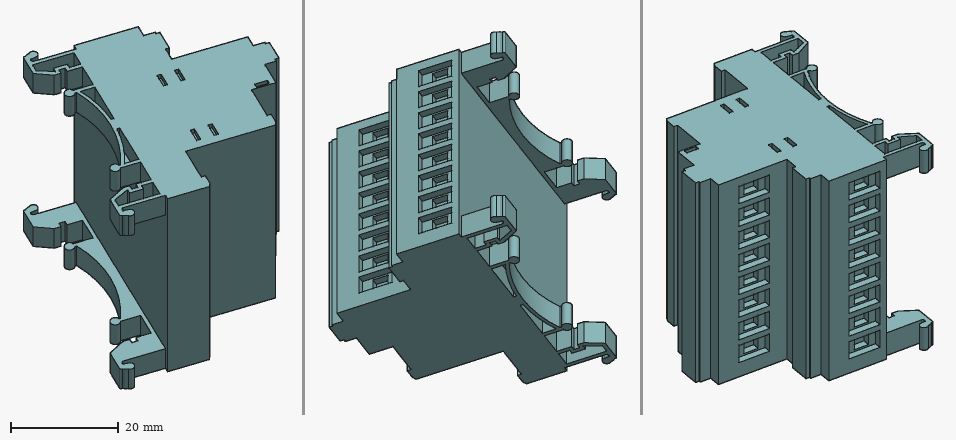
import cadquery as cq
import math

height = 44.85
half_width = 22.5
depth = 44.0
wall = 0.8

tier_inset = 10.5
tier_rise = 17.8
base_y = 10.0
terminal_y = 23.05
cover_y = 18.1
ridge_offset = 2.6
ridge_width = 5.55
ridge_height = 2.35
cap_offset = 0.4
cap_width = 4.55
cap_height = depth - tier_rise - terminal_y - ridge_height
lip_width = 3.0
lip_height = 0.8
lip_chamfer_x = 0.8
lip_chamfer_y = 0.4

window_count = 8
window_pitch = 5.1
window_row_z = 0.6
window_y = 14.95
window_width = 6.95
window_height = 3.85
window_depth = 1.5
clamp_y = 14.7
clamp_width = 3.2
clamp_height = 3.05
clamp_depth = 1.5

slot_length = 3.0
slot_width = 0.8
slot_depth = 1.0
slot_x = (-7.45, 8.55)
slot_y = (25.1, 21.55)
side_slot_length = 2.6
side_slot_x = 0.7
side_slot_y = 38.35

bracket_height = 5.1
bracket_half_width = 21.45
bracket_y = base_y - wall
clip_inner_x = 16.5
notch_depth = 0.95
notch_top_y = 6.05
notch_bottom_y = 4.85
ramp_y = 3.45
ramp_foot_x = 18.5
ramp_pocket_x = 18.9

hook_half_span = 24.05
hook_radius = 0.85
hook_x = hook_half_span - hook_radius
hook_y = 2.05
hook_back = (23.82, 1.5)
hook_bend = (23.7, 1.05)
hook_bend_end = (23.5, 0.65)
hook_foot_x = 23.35
hook_foot_y = 0.5
hook_foot_radius = 0.35
hook_root_x = 22.25
hook_root_y = 1.5
hook_floor_y = 1.05
hook_gap_radius = 0.4

pin_x = 10.95
pin_y = 4.25
pin_radius = 1.0
pin_inner_x = pin_x - wall / 2
arch_top_y = 7.95
arch_end_y = 5.5
arch_wall = 0.7
arch_web_half = 1.4
arch_sag = arch_top_y - arch_end_y
arch_radius = (pin_inner_x**2 + arch_sag**2) / (2 * arch_sag)
arch_center_y = arch_top_y - arch_radius

top_z = height / 2


def arc_y(x, radius):
    """Y of a circle about the arch centre."""
    return arch_center_y + math.sqrt(radius**2 - x**2)


def both_sides(shape):
    """Add the mirror image across the X = 0 plane."""
    return shape.union(shape.mirror("YZ"))


def box_between(x0, x1, y0, y1, z0, z1):
    return cq.Workplane("XY").box(x1 - x0, y1 - y0, z1 - z0, centered=False).translate((x0, y0, z0))


def housing_tier(half_x, rise):
    """One stepped tier: left shoulder with ridge and cap, right ledge with its lip."""
    shoulder_y = terminal_y + rise
    ledge_y = cover_y + rise
    ridge_x = -half_x + ridge_offset
    ridge_y = shoulder_y + ridge_height
    cap_x = ridge_x + cap_offset
    step_x = half_x - tier_inset
    lip_x = half_x - lip_width
    left = box_between(-half_x, step_x, base_y, shoulder_y, -top_z, top_z)
    ridge = box_between(ridge_x, ridge_x + ridge_width, base_y, ridge_y, -top_z, top_z)
    cap = box_between(cap_x, cap_x + cap_width, base_y, ridge_y + cap_height, -top_z, top_z)
    right = (
        cq.Workplane("XY", origin=(0, 0, -top_z))
        .moveTo(step_x, base_y)
        .lineTo(half_x, base_y)
        .lineTo(half_x, ledge_y + lip_height - lip_chamfer_y)
        .lineTo(half_x - lip_chamfer_x, ledge_y + lip_height)
        .lineTo(lip_x, ledge_y + lip_height)
        .lineTo(lip_x, ledge_y)
        .lineTo(step_x, ledge_y)
        .close()
        .extrude(height)
    )
    return left.union(ridge).union(cap).union(right)


def housing():
    lower = housing_tier(half_width, 0)
    upper_half = half_width - tier_inset
    upper = housing_tier(upper_half, tier_rise)
    shelf = box_between(
        -half_width + ridge_offset, -upper_half, base_y, terminal_y + ridge_height, -top_z, top_z
    )
    return lower.union(upper).union(shelf)


def wire_windows():
    """Stepped rectangular openings, one column per tier."""
    window = cq.Workplane("XY").box(2 * window_depth, window_width, window_height)
    clamp_reach = window_depth + clamp_depth
    clamp = cq.Workplane("XY").box(2 * clamp_reach, clamp_width, clamp_height)
    first_z = window_row_z - window_pitch * (window_count - 1) / 2
    cutters = cq.Workplane("XY")
    for tier in range(2):
        face_x = -half_width + tier * tier_inset
        rise = tier * tier_rise
        for i in range(window_count):
            z = first_z + i * window_pitch
            cutters = cutters.add(window.translate((face_x, window_y + rise, z)))
            cutters = cutters.add(clamp.translate((face_x, clamp_y + rise, z)))
    return cutters.combine()


def marker_slots():
    floor = cq.Workplane("XY", origin=(0, 0, top_z - slot_depth))
    slots = (
        floor.pushPoints([(x, y) for x in slot_x for y in slot_y])
        .rect(slot_length, slot_width)
        .extrude(slot_depth)
    )
    side_slot = (
        floor.center(side_slot_x, side_slot_y).rect(slot_width, side_slot_length).extrude(slot_depth)
    )
    return slots.union(side_slot)


def clip():
    """Right-hand rail clip with its notch and lead-in ramp."""
    notch_x = clip_inner_x + notch_depth
    outline = [
        (bracket_half_width, base_y),
        (bracket_half_width, 0),
        (ramp_foot_x, 0),
        (clip_inner_x, ramp_y),
        (clip_inner_x, notch_bottom_y),
        (notch_x, notch_bottom_y),
        (notch_x, notch_top_y),
        (clip_inner_x, notch_top_y),
        (clip_inner_x, base_y),
    ]
    return cq.Workplane("XY").polyline(outline).close().extrude(bracket_height)


def clip_pocket():
    """Pocket that follows the clip outline one wall thickness inside."""
    side_x = clip_inner_x + wall
    step_x = side_x + notch_depth
    outer_x = bracket_half_width - wall
    outline = [
        (outer_x, bracket_y),
        (outer_x, wall),
        (ramp_pocket_x, wall),
        (side_x, notch_bottom_y - wall),
        (step_x, notch_bottom_y - wall),
        (step_x, notch_top_y + wall),
        (side_x, notch_top_y + wall),
        (side_x, bracket_y),
    ]
    return (
        cq.Workplane("XY", origin=(0, 0, wall)).polyline(outline).close().extrude(bracket_height)
    )


def hook():
    """Right-hand release hook: a foot, a leaning neck and a round tip."""
    neck = (
        cq.Workplane("XY")
        .moveTo(bracket_half_width, 0)
        .lineTo(hook_foot_x - hook_foot_radius, 0)
        .radiusArc((hook_foot_x, hook_foot_radius), -hook_foot_radius)
        .lineTo(hook_foot_x, hook_foot_y)
        .lineTo(*hook_bend_end)
        .threePointArc(hook_bend, hook_back)
        .lineTo(hook_x + hook_radius, hook_y)
        .lineTo(hook_x - hook_radius, hook_y)
        .lineTo(hook_root_x, hook_root_y)
        .lineTo(hook_root_x, hook_floor_y)
        .lineTo(bracket_half_width + hook_gap_radius, hook_floor_y)
        .radiusArc((bracket_half_width, hook_floor_y + hook_gap_radius), hook_gap_radius)
        .close()
        .extrude(bracket_height)
    )
    tip = cq.Workplane("XY").center(hook_x, hook_y).circle(hook_radius).extrude(bracket_height)
    return neck.union(tip)


def pin():
    stem = box_between(pin_inner_x, pin_inner_x + wall, pin_y, base_y, 0, bracket_height)
    bead = cq.Workplane("XY").center(pin_x, pin_y).circle(pin_radius).extrude(bracket_height)
    return stem.union(bead)


def arch():
    return (
        cq.Workplane("XY")
        .moveTo(-pin_inner_x, base_y)
        .lineTo(-pin_inner_x, arch_end_y)
        .threePointArc((0, arch_top_y), (pin_inner_x, arch_end_y))
        .lineTo(pin_inner_x, base_y)
        .close()
        .extrude(bracket_height)
    )


def arch_pocket():
    """Right-hand pocket between the arch and the bracket plate."""
    radius = arch_radius + arch_wall
    middle_x = (arch_web_half + pin_inner_x) / 2
    return (
        cq.Workplane("XY", origin=(0, 0, wall))
        .moveTo(arch_web_half, bracket_y)
        .lineTo(arch_web_half, arc_y(arch_web_half, radius))
        .threePointArc((middle_x, arc_y(middle_x, radius)), (pin_inner_x, arc_y(pin_inner_x, radius)))
        .lineTo(pin_inner_x, bracket_y)
        .close()
        .extrude(bracket_height)
    )


def bracket():
    """Bracket with its closed inner side at Z = 0 and its pockets open toward +Z."""
    plate = box_between(
        -bracket_half_width, bracket_half_width, bracket_y, base_y, 0, bracket_height
    )
    solid = plate.union(arch()).union(both_sides(clip().union(hook()).union(pin())))
    return solid.cut(both_sides(clip_pocket())).cut(both_sides(arch_pocket()))


upper_bracket = bracket().translate((0, 0, top_z - bracket_height))
lower_bracket = upper_bracket.mirror("XY")

result = housing().union(upper_bracket).union(lower_bracket)
result = result.cut(wire_windows()).cut(marker_slots()).solids()